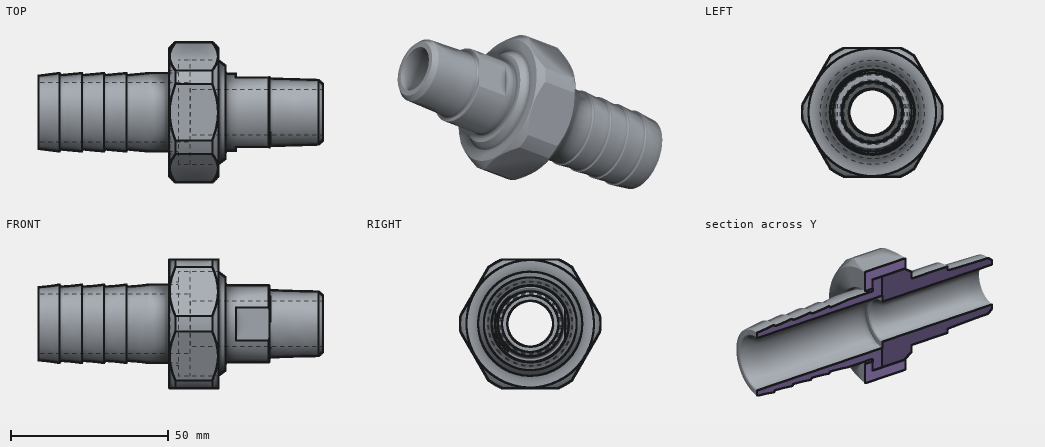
import cadquery as cq
import math

total_length = 90.5

mouth_chamfer = 0.3

nut_start = 41.5
nut_length = 15.75
nut_end = nut_start + nut_length
nut_across_flats = 41.0
nut_corner_diameter = 44.7
nut_face_diameter = 40.5
nut_chamfer_length = 2.0
nut_wall = 3.0
nut_hole_diameter = 26.5
nut_thread_diameter = 33.1

barb_count = 5
barb_pitch = 7.1
barb_first_peak = 6.8
barb_peak_radius = 25.0 / 2
barb_root_radius = 11.9
barb_root_fillet = 0.45
tail_tip_radius = 11.7
tail_tip_fillet = 0.3
tail_bore_diameter = 19.0
tail_flange_start = nut_start + nut_wall
tail_flange_length = 3.6
tail_flange_fillet = 0.45
tail_end = tail_flange_start + tail_flange_length

collar_end = 59.55
collar_end_radius = 29.5 / 2
collar_radius = nut_thread_diameter / 2
collar_chamfer_length = 2.4
neck_radius = 24.5 / 2
neck_end = 73.4
neck_edge_chamfer = 0.2
root_fillet = 0.45
taper_start_radius = 10.8
taper_end_radius = 10.3
tip_chamfer_length = 1.5
tip_radius = 9.0
adapter_bore_diameter = 14.5
flat_start = 62.8
flat_width_across = 22.2


def revolve_about_x(profile):
    """Revolve an (x, radius) profile into a solid of revolution about the X axis."""
    return profile.close().revolve(360, (0, 0, 0), (1, 0, 0))


def cylinder_x(start, end, diameter):
    return cq.Workplane("YZ", origin=(start, 0, 0)).circle(diameter / 2).extrude(end - start)


def shoulder_fillet(profile, x, radius, size):
    """Add a concave quarter round that runs from a shoulder face at x down to a radius."""
    bulge = size * (1 - math.sqrt(0.5))
    return profile.threePointArc((x + bulge, radius + bulge), (x + size, radius))


def make_nut():
    hex_corner_distance = nut_across_flats / math.cos(math.pi / 6)
    hexagon = (
        cq.Workplane("YZ", origin=(nut_start, 0, 0))
        .polygon(6, hex_corner_distance)
        .extrude(nut_length)
    )

    corner_radius = nut_corner_diameter / 2
    face_radius = nut_face_diameter / 2
    envelope = revolve_about_x(
        cq.Workplane("XY")
        .moveTo(nut_start, 0)
        .lineTo(nut_start, face_radius)
        .lineTo(nut_start + nut_chamfer_length, corner_radius)
        .lineTo(nut_end - nut_chamfer_length, corner_radius)
        .lineTo(nut_end, face_radius)
        .lineTo(nut_end, 0)
    )

    tail_hole = cylinder_x(nut_start, nut_end, nut_hole_diameter)
    thread_bore = cylinder_x(tail_flange_start, nut_end, nut_thread_diameter)
    mouth_radius = nut_hole_diameter / 2
    mouth_bevel = revolve_about_x(
        cq.Workplane("XY")
        .moveTo(nut_start, 0)
        .lineTo(nut_start, mouth_radius + mouth_chamfer)
        .lineTo(nut_start + mouth_chamfer, mouth_radius)
        .lineTo(nut_start + mouth_chamfer, 0)
    )
    return hexagon.intersect(envelope).cut(tail_hole).cut(thread_bore).cut(mouth_bevel)


def make_hose_tail():
    bore_radius = tail_bore_diameter / 2
    flange_radius = nut_thread_diameter / 2
    profile = (
        cq.Workplane("XY")
        .moveTo(mouth_chamfer, bore_radius)
        .lineTo(0, bore_radius + mouth_chamfer)
        .lineTo(0, tail_tip_radius - tail_tip_fillet)
    )
    tip_bulge = tail_tip_fillet * (1 - math.sqrt(0.5))
    profile = profile.threePointArc(
        (tip_bulge, tail_tip_radius - tip_bulge), (tail_tip_fillet, tail_tip_radius)
    )

    for index in range(barb_count):
        peak_x = barb_first_peak + index * barb_pitch
        profile = profile.lineTo(peak_x, barb_peak_radius)
        if index < barb_count - 1:
            profile = profile.lineTo(peak_x, barb_root_radius + barb_root_fillet)
            profile = shoulder_fillet(profile, peak_x, barb_root_radius, barb_root_fillet)

    flange_bulge = tail_flange_fillet * (1 - math.sqrt(0.5))
    profile = (
        profile.lineTo(tail_flange_start - tail_flange_fillet, barb_peak_radius)
        .threePointArc(
            (tail_flange_start - flange_bulge, barb_peak_radius + flange_bulge),
            (tail_flange_start, barb_peak_radius + tail_flange_fillet),
        )
        .lineTo(tail_flange_start, flange_radius)
        .lineTo(tail_end, flange_radius)
        .lineTo(tail_end, bore_radius)
    )
    return revolve_about_x(profile)


def make_adapter():
    bore_radius = adapter_bore_diameter / 2
    profile = (
        cq.Workplane("XY")
        .moveTo(tail_end + mouth_chamfer, bore_radius)
        .lineTo(tail_end, bore_radius + mouth_chamfer)
        .lineTo(tail_end, collar_radius)
        .lineTo(collar_end - collar_chamfer_length, collar_radius)
        .lineTo(collar_end, collar_end_radius)
        .lineTo(collar_end, neck_radius + root_fillet)
    )
    profile = shoulder_fillet(profile, collar_end, neck_radius, root_fillet)
    profile = (
        profile.lineTo(neck_end - neck_edge_chamfer, neck_radius)
        .lineTo(neck_end, neck_radius - neck_edge_chamfer)
        .lineTo(neck_end, taper_start_radius + root_fillet)
    )
    profile = shoulder_fillet(profile, neck_end, taper_start_radius, root_fillet)
    profile = (
        profile.lineTo(total_length - tip_chamfer_length, taper_end_radius)
        .lineTo(total_length, tip_radius)
        .lineTo(total_length, bore_radius)
    )
    adapter = revolve_about_x(profile)

    flat_length = neck_end - flat_start
    flat_center_x = (flat_start + neck_end) / 2
    for side in (-1, 1):
        cutter = cq.Workplane("XY").box(flat_length, neck_radius, 2 * neck_radius)
        cutter_y = side * (flat_width_across + neck_radius) / 2
        adapter = adapter.cut(cutter.translate((flat_center_x, cutter_y, 0)))
    return adapter


nut = make_nut()
hose_tail = make_hose_tail()
adapter = make_adapter()

result = cq.Compound.makeCompound([nut.val(), hose_tail.val(), adapter.val()])